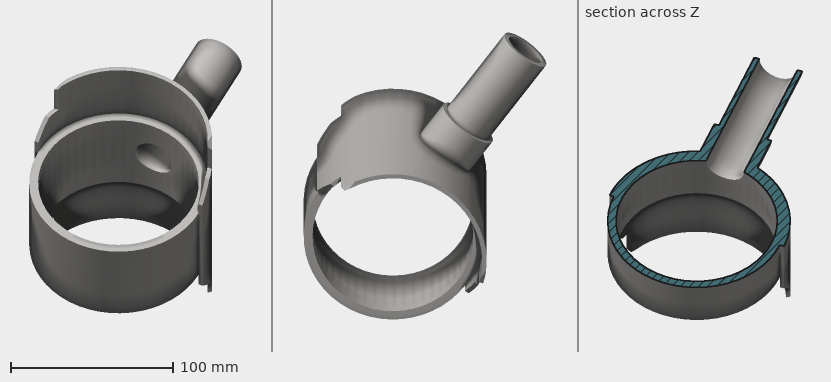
import cadquery as cq
import math

ring_outer_radius = 55.0
ring_inner_radius = 49.5
ring_height = 60.0

saddle_outer_radius = 57.75
saddle_height = 144.0

notch_floor_y = 20.0
ear_height = 102.0
ear_chamfer = 12.0

corner_start_x = 50.0
corner_angle = 36.0

collar_radius = 19.0
collar_end_y = 78.5
pipe_radius = 16.0
pipe_length = 60.0
bore_radius = 12.5

pipe_end_y = collar_end_y + pipe_length


def upright_cylinder(radius, height):
    return cq.Workplane("XY", origin=(0, 0, -height / 2)).circle(radius).extrude(height)


def cylinder_along_y(radius, end_y):
    return cq.Workplane("XZ").circle(radius).extrude(-end_y)


def saddle_side_profile():
    """Side outline of the saddle in the YZ plane, extruded across its width."""
    half_height = saddle_height / 2
    half_ear = ear_height / 2
    half_edge = half_ear - ear_chamfer
    outline = [
        (saddle_outer_radius, -half_height),
        (notch_floor_y, -half_height),
        (notch_floor_y, -half_ear),
        (ear_chamfer, -half_ear),
        (0, -half_edge),
        (0, half_edge),
        (ear_chamfer, half_ear),
        (notch_floor_y, half_ear),
        (notch_floor_y, half_height),
        (saddle_outer_radius, half_height),
    ]
    return cq.Workplane("YZ").polyline(outline).close().extrude(saddle_outer_radius, both=True)


def corner_cut(side_x, side_z):
    """Wedge removing one upper or lower corner of the saddle, constant along Y."""
    cut_width = saddle_outer_radius - corner_start_x
    cut_drop = cut_width * math.tan(math.radians(corner_angle))
    end_z = saddle_height / 2
    wedge = [
        (side_x * corner_start_x, side_z * end_z),
        (side_x * saddle_outer_radius, side_z * end_z),
        (side_x * saddle_outer_radius, side_z * (end_z - cut_drop)),
    ]
    return cq.Workplane("XZ").polyline(wedge).close().extrude(-saddle_outer_radius)


def make_saddle():
    saddle = upright_cylinder(saddle_outer_radius, saddle_height).intersect(saddle_side_profile())
    for side_x in (-1, 1):
        for side_z in (-1, 1):
            saddle = saddle.cut(corner_cut(side_x, side_z))
    return saddle.cut(upright_cylinder(ring_outer_radius, saddle_height))


def make_pipe():
    collar = cylinder_along_y(collar_radius, collar_end_y)
    pipe = collar.union(cylinder_along_y(pipe_radius, pipe_end_y))
    return pipe.cut(upright_cylinder(ring_outer_radius, ring_height))


ring = upright_cylinder(ring_outer_radius, ring_height)
body = ring.union(make_saddle()).union(make_pipe())
body = body.cut(upright_cylinder(ring_inner_radius, ring_height))
result = body.cut(cylinder_along_y(bore_radius, pipe_end_y))